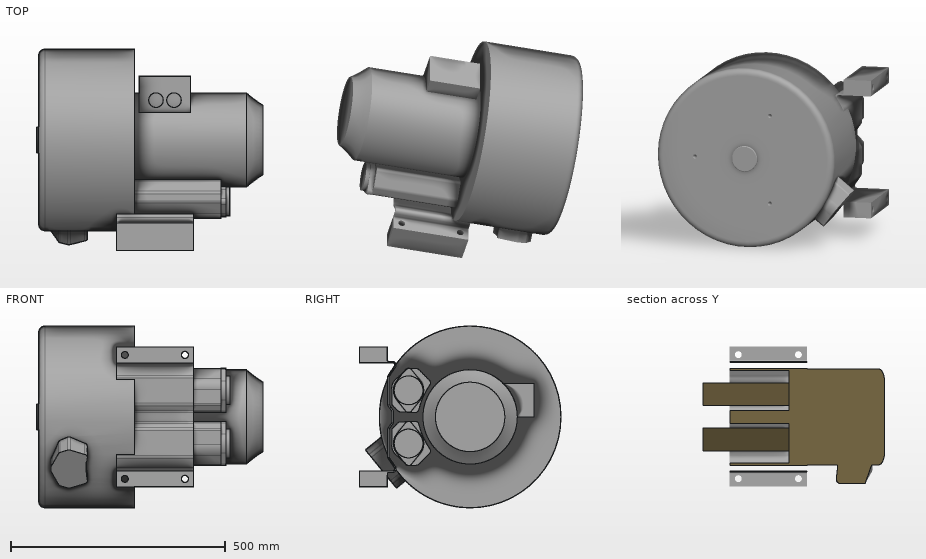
import cadquery as cq
import math


HOUSING_RADIUS = 212.0
HOUSING_LENGTH = 224.0
HOUSING_EDGE_RADIUS = 15.0
HUB_RADIUS = 30.5
HUB_HEIGHT = 5.0
HUB_CHAMFER = 1.5
PIT_RADIUS = 5.0
PIT_DEPTH = 5.0
PIT_CIRCLE_RADIUS = 120.0
PIT_COUNT = 3

MOTOR_RADIUS = 110.0
MOTOR_SHOULDER_X = 484.0
MOTOR_END_X = 523.0
MOTOR_END_RADIUS = 81.0
MOTOR_TAPER_SAG = 1.5
BOX_LENGTH = 120.0
BOX_START_X = HOUSING_LENGTH + 10.5
BOX_INNER_Y = 64.0
BOX_OUTER_Y = 149.0
BOX_TOP_Z = 78.0
BOX_BOTTOM_Z = 0.0
GLAND_RADIUS = 17.0
GLAND_RECESS = 1.0
GLAND_SPACING = 42.0
GLAND_Y = 93.0

NECK_ANGLE = math.radians(39.1)
NECK_FACE_DISTANCE = 238.0
NECK_OFFSET = 36.8
NECK_CENTER_X = 71.0
NECK_DEPTH = 80.0

SILENCER_SCALE = 0.945
SILENCER_TILT = math.radians(24.0)
SILENCER_CENTER_Y = -143.5
SILENCER_CENTER_Z = 62.0
SILENCER_LENGTH = 200.5
FLANGE_THICKNESS = 12.0
FLANGE_HALF_LENGTH = 51.5
FLANGE_MIDDLE_RADIUS = 35.5
FLANGE_TIP_RADIUS = 9.0
SPIGOT_RADIUS = 33.5
SPIGOT_LENGTH = 9.0

BRACKET_LENGTH = 180.0
BRACKET_END_X = 361.0
BRACKET_START_X = BRACKET_END_X - BRACKET_LENGTH
SHEET_THICKNESS = 3.5
SHEET_FRONT_Y = -193.0
SHEET_MIDDLE_Y = -182.0
SHEET_BACK_Y = -171.5
FOOT_INNER_Z = 126.0
FOOT_HEIGHT = 37.0
FOOT_BASE_Y = -258.0
FOOT_CORNER_RADIUS = 3.0
UPPER_BEND_Z = 94.0
LOWER_BEND_Z = 28.3
MIDDLE_BEND_Z = 13.2
TIGHT_BEND_RADIUS = 5.0
BEND_RADIUS = 8.5
FOOT_HOLE_RADIUS = 8.0
FOOT_HOLE_MARGIN = 20.0


def x_cylinder(start_x, length, radius, y=0.0, z=0.0):
    return cq.Workplane("YZ", origin=(start_x, y, z)).circle(radius).extrude(length)


def make_housing():
    """Drum with a rounded front edge, a low hub disc and conical pits around it."""
    drum = x_cylinder(0, HOUSING_LENGTH, HOUSING_RADIUS).faces("<X").edges().fillet(HOUSING_EDGE_RADIUS)
    hub = x_cylinder(-HUB_HEIGHT, HUB_HEIGHT, HUB_RADIUS).faces("<X").edges().chamfer(HUB_CHAMFER)
    pit = cq.Solid.makeCone(PIT_RADIUS, 0, PIT_DEPTH)
    pits = (
        cq.Workplane("YZ")
        .polarArray(PIT_CIRCLE_RADIUS, 0, 360, PIT_COUNT)
        .eachpoint(lambda place: pit.moved(place), useLocalCoordinates=True)
    )
    return drum.cut(pits).union(hub)


def make_motor():
    """Round motor with a slightly hollow tapered end and a terminal box on its +Y side.

    The motor is cut away above the box, so the flat box top is open upward.
    """
    taper_middle = (
        (MOTOR_SHOULDER_X + MOTOR_END_X) / 2,
        (MOTOR_RADIUS + MOTOR_END_RADIUS) / 2 - MOTOR_TAPER_SAG,
    )
    body = (
        cq.Workplane("XY")
        .moveTo(HOUSING_LENGTH, 0)
        .lineTo(HOUSING_LENGTH, MOTOR_RADIUS)
        .lineTo(MOTOR_SHOULDER_X, MOTOR_RADIUS)
        .threePointArc(taper_middle, (MOTOR_END_X, MOTOR_END_RADIUS))
        .lineTo(MOTOR_END_X, 0)
        .close()
        .revolve(360, (0, 0, 0), (1, 0, 0))
    )
    box = cq.Workplane("XY").box(
        BOX_LENGTH, BOX_OUTER_Y - BOX_INNER_Y, BOX_TOP_Z - BOX_BOTTOM_Z, centered=False
    ).translate((BOX_START_X, BOX_INNER_Y, BOX_BOTTOM_Z))
    glands = (
        cq.Workplane("XY", origin=(BOX_START_X + BOX_LENGTH / 2, GLAND_Y, BOX_TOP_Z))
        .rarray(GLAND_SPACING, 1, 2, 1)
        .circle(GLAND_RADIUS)
        .extrude(-GLAND_RECESS)
    )
    seat = box.faces(">Z").wires().toPending().extrude(MOTOR_RADIUS, combine=False)
    return body.cut(seat).union(box).cut(glands)


def port_section(plane, scale=1.0):
    """Rounded multi-sided outline, symmetric about its local X axis, with its nose toward +X."""

    def at(point):
        return (scale * point[0], scale * point[1])

    def mirrored(point):
        return (point[0], -point[1])

    nose_tip = (42.7, 0)
    nose_edge = (38.5, 15)
    tail_middle = (-39.5, 0)
    shoulder = [(24.6, 46.4), (23.2, 48.6), (21, 50)]
    crown = [(4.2, 56.8), (0.5, 57.5), (-3.1, 56.8)]
    tail_corner = [(-36.1, 43.9), (-41, 40.5), (-42.8, 35)]
    upper_corners = [shoulder, crown, tail_corner]
    lower_corners = [[mirrored(point) for point in corner[::-1]] for corner in upper_corners[::-1]]

    outline = cq.Workplane(plane).moveTo(*at(mirrored(nose_edge)))
    outline = outline.threePointArc(at(nose_tip), at(nose_edge))
    for start, middle, end in upper_corners:
        outline = outline.lineTo(*at(start)).threePointArc(at(middle), at(end))
    lower_start = lower_corners[0][0]
    outline = outline.threePointArc(at(tail_middle), at(lower_start))
    for start, middle, end in lower_corners:
        if start != lower_start:
            outline = outline.lineTo(*at(start))
        outline = outline.threePointArc(at(middle), at(end))
    return outline.close()


def make_neck():
    """Blind port neck pointing down and toward -Y, its nose toward the housing front."""
    out_y = -math.cos(NECK_ANGLE)
    out_z = -math.sin(NECK_ANGLE)
    origin = (
        NECK_CENTER_X,
        NECK_FACE_DISTANCE * out_y + NECK_OFFSET * out_z,
        NECK_FACE_DISTANCE * out_z - NECK_OFFSET * out_y,
    )
    plane = cq.Plane(origin=origin, xDir=(-1, 0, 0), normal=(0, out_y, out_z))
    return port_section(plane).extrude(-NECK_DEPTH)


def flange_outline(start_x):
    """Lozenge with a round middle and round tips, long along Z, tangent all the way round."""
    tip_center = FLANGE_HALF_LENGTH - FLANGE_TIP_RADIUS
    slope = math.asin((FLANGE_MIDDLE_RADIUS - FLANGE_TIP_RADIUS) / tip_center)
    middle_y = FLANGE_MIDDLE_RADIUS * math.cos(slope)
    middle_z = FLANGE_MIDDLE_RADIUS * math.sin(slope)
    tip_y = FLANGE_TIP_RADIUS * math.cos(slope)
    tip_z = tip_center + FLANGE_TIP_RADIUS * math.sin(slope)
    return (
        cq.Workplane("YZ", origin=(start_x, SILENCER_CENTER_Y, SILENCER_CENTER_Z))
        .moveTo(middle_y, -middle_z)
        .threePointArc((FLANGE_MIDDLE_RADIUS, 0), (middle_y, middle_z))
        .lineTo(tip_y, tip_z)
        .threePointArc((0, FLANGE_HALF_LENGTH), (-tip_y, tip_z))
        .lineTo(-middle_y, middle_z)
        .threePointArc((-FLANGE_MIDDLE_RADIUS, 0), (-middle_y, -middle_z))
        .lineTo(-tip_y, -tip_z)
        .threePointArc((0, -FLANGE_HALF_LENGTH), (tip_y, -tip_z))
        .close()
    )


def make_silencer(side):
    """Tilted body, lozenge flange and round spigot, cleared where it meets the motor.

    side is 1 for the upper silencer and -1 for its mirror image below the shaft.
    """
    plane = cq.Plane(
        origin=(HOUSING_LENGTH, SILENCER_CENTER_Y, SILENCER_CENTER_Z),
        xDir=(0, -math.cos(SILENCER_TILT), math.sin(SILENCER_TILT)),
        normal=(1, 0, 0),
    )
    flange_x = HOUSING_LENGTH + SILENCER_LENGTH
    spigot_x = flange_x + FLANGE_THICKNESS
    body = port_section(plane, SILENCER_SCALE).extrude(SILENCER_LENGTH)
    flange = flange_outline(flange_x).extrude(FLANGE_THICKNESS)
    spigot = x_cylinder(spigot_x, SPIGOT_LENGTH, SPIGOT_RADIUS, SILENCER_CENTER_Y, SILENCER_CENTER_Z)
    motor_clearance = x_cylinder(HOUSING_LENGTH, MOTOR_END_X - HOUSING_LENGTH, MOTOR_RADIUS)
    silencer = body.union(flange).union(spigot).cut(motor_clearance)
    return silencer if side > 0 else silencer.mirror("XY")


def make_foot_bracket():
    """Bent sheet that passes in front of both silencers, with a foot block at its top and bottom."""
    upper_bends = [
        (SHEET_BACK_Y, FOOT_INNER_Z, TIGHT_BEND_RADIUS),
        (SHEET_FRONT_Y, UPPER_BEND_Z, BEND_RADIUS),
        (SHEET_FRONT_Y, LOWER_BEND_Z, BEND_RADIUS),
        (SHEET_MIDDLE_Y, MIDDLE_BEND_Z, BEND_RADIUS),
    ]
    lower_bends = [(y, -z, radius) for y, z, radius in reversed(upper_bends)]
    bends = upper_bends + lower_bends
    foot_ends = [(SHEET_FRONT_Y, FOOT_INNER_Z), (SHEET_FRONT_Y, -FOOT_INNER_Z)]
    front = [foot_ends[0]] + [(y, z) for y, z, _ in bends] + [foot_ends[1]]

    directions = []
    for (y0, z0), (y1, z1) in zip(front, front[1:]):
        length = math.hypot(y1 - y0, z1 - z0)
        directions.append(((y1 - y0) / length, (z1 - z0) / length))

    back = [(front[0][0], front[0][1] + SHEET_THICKNESS)]
    turns = []
    for (y, z), (ay, az), (by, bz) in zip(front[1:-1], directions, directions[1:]):
        shift = SHEET_THICKNESS / (1 + ay * by + az * bz)
        back.append((y - shift * (az + bz), z + shift * (ay + by)))
        turns.append(ay * bz - az * by)
    back.append((front[-1][0], front[-1][1] - SHEET_THICKNESS))

    sheet = cq.Workplane("YZ", origin=(BRACKET_START_X, 0, 0)).polyline(front + back[::-1]).close()
    sheet = sheet.extrude(BRACKET_LENGTH)
    middle_x = BRACKET_START_X + BRACKET_LENGTH / 2
    for (_, _, radius), front_corner, back_corner, turn in zip(bends, front[1:-1], back[1:-1], turns):
        inside, outside = (back_corner, front_corner) if turn > 0 else (front_corner, back_corner)
        for corner, corner_radius in ((inside, radius), (outside, radius + SHEET_THICKNESS)):
            edge = cq.selectors.NearestToPointSelector((middle_x, *corner))
            sheet = sheet.edges("|X").edges(edge).fillet(corner_radius)

    bracket = sheet
    for side in (1, -1):
        bracket = bracket.union(make_foot(side))
        edge = cq.selectors.NearestToPointSelector(
            (middle_x, SHEET_FRONT_Y, side * (FOOT_INNER_Z + SHEET_THICKNESS))
        )
        bracket = bracket.edges("|X").edges(edge).fillet(FOOT_CORNER_RADIUS)
    return bracket


def make_foot(side):
    """Foot block with two through holes; side is 1 for the upper foot and -1 for the lower one."""
    center_z = side * (FOOT_INNER_Z + FOOT_HEIGHT / 2)
    depth = SHEET_FRONT_Y - FOOT_BASE_Y
    center_x = BRACKET_START_X + BRACKET_LENGTH / 2
    return (
        cq.Workplane("XZ", origin=(center_x, SHEET_FRONT_Y, center_z))
        .rect(BRACKET_LENGTH, FOOT_HEIGHT)
        .rarray(BRACKET_LENGTH - 2 * FOOT_HOLE_MARGIN, 1, 2, 1)
        .circle(FOOT_HOLE_RADIUS)
        .extrude(depth)
    )


blower = make_housing().union(make_motor()).union(make_neck()).union(make_foot_bracket())
silencers = [make_silencer(side) for side in (1, -1)]

result = cq.Compound.makeCompound([blower.val(), *[silencer.val() for silencer in silencers]])